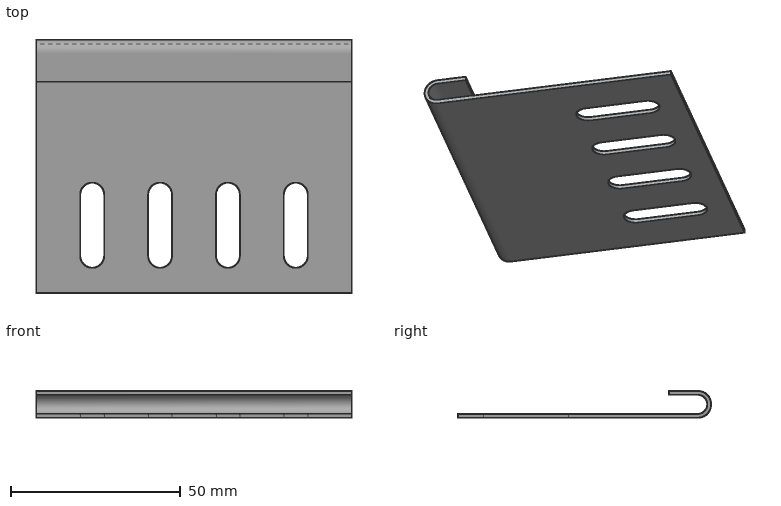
import cadquery as cq

width = 93.0
depth = 74.7
height = 8.0
thickness = 1.2
hook_reach = 12.5

slot_count = 4
slot_pitch = 20.0
slot_width = 7.0
slot_length = 25.0
slot_center_from_front = 20.0

outer_radius = height / 2
inner_radius = outer_radius - thickness
bend_y = depth - outer_radius
lip_end_y = depth - hook_reach


def hooked_sheet():
    """Side profile in the YZ plane, extruded across the width."""
    return (
        cq.Workplane("YZ")
        .moveTo(0, 0)
        .lineTo(bend_y, 0)
        .threePointArc((depth, outer_radius), (bend_y, height))
        .lineTo(lip_end_y, height)
        .lineTo(lip_end_y, height - thickness)
        .lineTo(bend_y, height - thickness)
        .threePointArc((bend_y + inner_radius, outer_radius), (bend_y, thickness))
        .lineTo(0, thickness)
        .close()
        .extrude(width / 2, both=True)
    )


def slot_cutters():
    """Slots centred across the width, cutting only the flat base."""
    return (
        cq.Workplane("XY")
        .center(0, slot_center_from_front)
        .rarray(slot_pitch, 0.9, slot_count, 1)
        .slot2D(slot_length, slot_width, 90)
        .extrude(thickness)
    )


result = hooked_sheet().cut(slot_cutters())